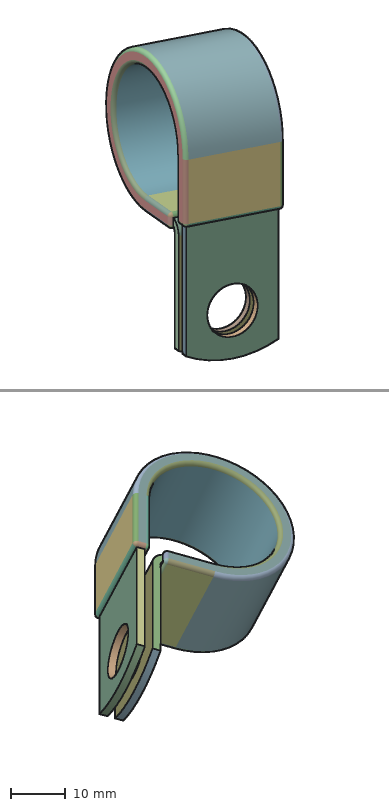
import cadquery as cq
import math

ring_radius = 15.8
strap_thickness = 1.6
strap_width = 19.05
cushion_cover = 0.8
total_height = 57.1
side_leg_end = -13.5
bottom_leg_end = 9.9
tab_face = 11.95
bend_radius = 2.95
hole_diameter = 10.4
hole_z = -31.75
tab_end_sag = 2.15

cushion_thickness = strap_thickness + 2 * cushion_cover
cushion_width = strap_width + 2 * cushion_cover
strap_radius = ring_radius - cushion_cover
tab_bottom = ring_radius - total_height
bend_start = tab_face - bend_radius


def extrude_centred(profile, width):
    """Extrude an XZ profile evenly to both sides of Y = 0."""
    return profile.extrude(width / 2, both=True)


def loop_profile(outer_radius, thickness, side_end, bottom_end):
    """Three-quarter ring with a vertical leg and a horizontal leg."""
    inner_radius = outer_radius - thickness
    diagonal = math.sqrt(0.5)
    return (
        cq.Workplane("XZ")
        .moveTo(outer_radius, side_end)
        .lineTo(outer_radius, 0)
        .threePointArc((-outer_radius * diagonal, outer_radius * diagonal), (0, -outer_radius))
        .lineTo(bottom_end, -outer_radius)
        .lineTo(bottom_end, -inner_radius)
        .lineTo(0, -inner_radius)
        .threePointArc((-inner_radius * diagonal, inner_radius * diagonal), (inner_radius, 0))
        .lineTo(inner_radius, side_end)
        .close()
    )


def make_cushion():
    profile = loop_profile(ring_radius, cushion_thickness, side_leg_end, bottom_leg_end)
    body = extrude_centred(profile, cushion_width)
    rims = body.faces("<Y or >Y").edges()
    side_end_edges = body.faces(cq.selectors.NearestToPointSelector(
        (ring_radius - cushion_thickness / 2, 0, side_leg_end))).edges("|Y")
    bottom_end_edges = body.faces(cq.selectors.NearestToPointSelector(
        (bottom_leg_end, 0, cushion_thickness / 2 - ring_radius))).edges("|Y")
    rounded_edges = rims.vals() + side_end_edges.vals() + bottom_end_edges.vals()
    return body.newObject(rounded_edges).fillet(cushion_cover)


def make_strap():
    loop = extrude_centred(
        loop_profile(strap_radius, strap_thickness, tab_bottom, bend_start), strap_width)

    top = strap_thickness - strap_radius
    bend_centre_z = top - bend_radius
    inner_bend_radius = bend_radius - strap_thickness
    bent_tab = extrude_centred(
        cq.Workplane("XZ")
        .moveTo(bend_start, top)
        .radiusArc((tab_face, bend_centre_z), bend_radius)
        .lineTo(tab_face, tab_bottom)
        .lineTo(tab_face - strap_thickness, tab_bottom)
        .lineTo(tab_face - strap_thickness, bend_centre_z)
        .radiusArc((bend_start, top - strap_thickness), -inner_bend_radius)
        .close(),
        strap_width,
    )
    return loop.union(bent_tab)


def make_tab_trim():
    """Material below the rounded tab ends, running along X."""
    half_width = strap_width / 2
    corner_z = tab_bottom + tab_end_sag
    return (
        cq.Workplane("YZ")
        .moveTo(-half_width, corner_z)
        .threePointArc((0, tab_bottom), (half_width, corner_z))
        .lineTo(half_width, tab_bottom)
        .lineTo(-half_width, tab_bottom)
        .close()
        .extrude(ring_radius)
    )


def make_bolt_hole():
    return cq.Workplane("YZ").center(0, hole_z).circle(hole_diameter / 2).extrude(ring_radius)


strap = make_strap().cut(make_tab_trim()).cut(make_bolt_hole())
result = make_cushion().union(strap)